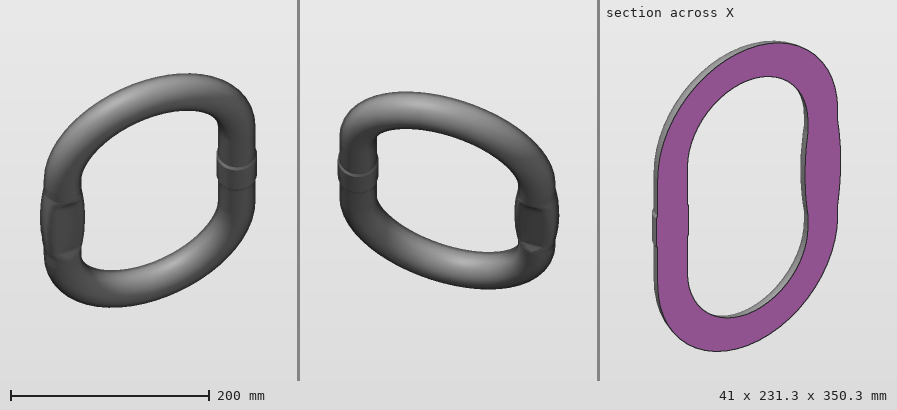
import cadquery as cq

LENGTH = 350.3
BAR_DIAMETER = 38.0
BEND_RADIUS = 94.0
BAR_RADIUS = BAR_DIAMETER / 2
STRAIGHT_HALF = LENGTH / 2 - BAR_RADIUS - BEND_RADIUS

COLLAR_DIAMETER = 41.0
COLLAR_LENGTH = 39.0
COLLAR_BEVEL_LENGTH = 3.0

SWELL_RADIUS = 22.8
SWELL_HALF = 49.0

FLAT_OFFSET = 14.7
FLAT_HALF = 38.0
RAMP_END = 48.0
RAMP_BLEND_RADIUS = 10.5
RIM_ROUND_RADIUS = 8.8


def make_link():
    """Plain bar: both bends and the +Y leg, leaving the -Y leg open for the grip."""
    path = (
        cq.Workplane("YZ")
        .moveTo(-BEND_RADIUS, -STRAIGHT_HALF)
        .threePointArc((0, -STRAIGHT_HALF - BEND_RADIUS), (BEND_RADIUS, -STRAIGHT_HALF))
        .lineTo(BEND_RADIUS, STRAIGHT_HALF)
        .threePointArc((0, STRAIGHT_HALF + BEND_RADIUS), (-BEND_RADIUS, STRAIGHT_HALF))
    )
    return cq.Workplane("XY", origin=(0, -BEND_RADIUS, -STRAIGHT_HALF)).circle(BAR_RADIUS).sweep(path)


def make_collar():
    """Sleeve whose ends taper down to the bar's diameter."""
    half = COLLAR_LENGTH / 2
    radius = COLLAR_DIAMETER / 2
    profile = (
        cq.Workplane("XZ", origin=(0, BEND_RADIUS, 0))
        .moveTo(0, -half)
        .lineTo(BAR_RADIUS, -half)
        .lineTo(radius, -half + COLLAR_BEVEL_LENGTH)
        .lineTo(radius, half - COLLAR_BEVEL_LENGTH)
        .lineTo(BAR_RADIUS, half)
        .lineTo(0, half)
        .close()
    )
    return profile.revolve(360, (0, 0), (0, 1))


def make_grip():
    """Straight stretch of the -Y leg with the swelling, about the Z axis."""
    profile = (
        cq.Workplane("XZ")
        .moveTo(0, -STRAIGHT_HALF)
        .lineTo(BAR_RADIUS, -STRAIGHT_HALF)
        .lineTo(BAR_RADIUS, -SWELL_HALF)
        .threePointArc((SWELL_RADIUS, 0), (BAR_RADIUS, SWELL_HALF))
        .lineTo(BAR_RADIUS, STRAIGHT_HALF)
        .lineTo(0, STRAIGHT_HALF)
        .close()
    )
    return profile.revolve(360, (0, 0), (0, 1))


def make_recess():
    """Cutter for the +X flat and its two ramps."""
    slope = (RAMP_END - FLAT_HALF) / (BAR_RADIUS - FLAT_OFFSET)
    outside = 2 * SWELL_RADIUS
    mouth_half = FLAT_HALF + slope * (outside - FLAT_OFFSET)
    return (
        cq.Workplane("XZ")
        .moveTo(FLAT_OFFSET, -FLAT_HALF)
        .lineTo(FLAT_OFFSET, FLAT_HALF)
        .lineTo(outside, mouth_half)
        .lineTo(outside, -mouth_half)
        .close()
        .extrude(outside, both=True)
        .edges("|Y and <X")
        .fillet(RAMP_BLEND_RADIUS)
    )


recess = make_recess()
grip = make_grip().cut(recess).cut(recess.mirror("YZ"))
grip = grip.edges("%BSPLINE").fillet(RIM_ROUND_RADIUS)

result = make_link().union(make_collar()).union(grip.translate((0, -BEND_RADIUS, 0)))